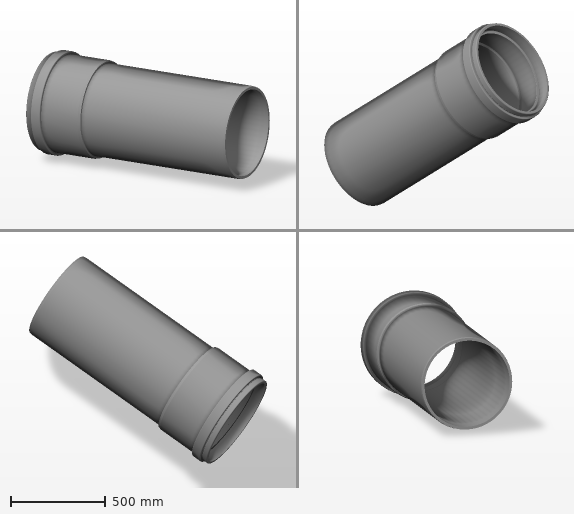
import cadquery as cq

length = 1195.0
pipe_outer_radius = 500.0 / 2
pipe_inner_radius = 467.0 / 2
spigot_chamfer_length = 14.0
spigot_chamfer_depth = 2.0

socket_outer_radius = 530.0 / 2
socket_bore_radius = 504.0 / 2
socket_end = 326.0
socket_taper_length = 14.0
socket_taper_depth = 4.0
bore_end = 196.0
shoulder_bore_radius = 470.0 / 2
shoulder_taper_length = 14.0

bead_radius = 561.0 / 2
bead_start = 36.0
bead_end = 91.0
bead_edge_fillet = 4.0

seal_outer_radius = 535.0 / 2
seal_start = 40.0
seal_end = 79.0
seal_lip_radius = 470.0 / 2
seal_lip_start = 60.0
seal_lip_thickness = 2.0

lip_radius = 535.0 / 2
lip_end = 32.0
lip_edge_fillet = 5.0


def revolve_about_x(profile):
    """Turn a profile of (X, radius) drawn in the XY plane about the X axis."""
    return profile.close().revolve(360, (0, 0, 0), (1, 0, 0))


def ring(start, end, inner_radius, outer_radius):
    """Plain ring around the X axis."""
    profile = (
        cq.Workplane("XY")
        .moveTo(start, inner_radius)
        .lineTo(end, inner_radius)
        .lineTo(end, outer_radius)
        .lineTo(start, outer_radius)
    )
    return revolve_about_x(profile)


def make_outer_form():
    """Solid outside shape: barrel, socket sleeve, bead and lip."""
    profile = (
        cq.Workplane("XY")
        .moveTo(lip_end, 0)
        .lineTo(lip_end, socket_outer_radius)
        .lineTo(socket_end - socket_taper_length, socket_outer_radius)
        .lineTo(socket_end, socket_outer_radius - socket_taper_depth)
        .lineTo(socket_end, pipe_outer_radius)
        .lineTo(length - spigot_chamfer_length, pipe_outer_radius)
        .lineTo(length, pipe_outer_radius - spigot_chamfer_depth)
        .lineTo(length, 0)
    )
    lip = cq.Workplane("YZ").circle(lip_radius).extrude(lip_end).edges().fillet(lip_edge_fillet)
    bead = (
        cq.Workplane("YZ", origin=(bead_start, 0, 0))
        .circle(bead_radius)
        .extrude(bead_end - bead_start)
        .edges()
        .fillet(bead_edge_fillet)
    )
    return revolve_about_x(profile).union(lip).union(bead)


def make_bore():
    """Inside space: socket bore, flat shoulder, short lead-in taper and pipe bore."""
    profile = (
        cq.Workplane("XY")
        .moveTo(0, 0)
        .lineTo(0, socket_bore_radius)
        .lineTo(bore_end, socket_bore_radius)
        .lineTo(bore_end, shoulder_bore_radius)
        .lineTo(bore_end + shoulder_taper_length, pipe_inner_radius)
        .lineTo(length, pipe_inner_radius)
        .lineTo(length, 0)
    )
    return revolve_about_x(profile)


def make_seal():
    """Sealing ring that fills the groove in the bead, with a thin lip reaching inward."""
    body = ring(seal_start, seal_end, socket_bore_radius, seal_outer_radius)
    seal_lip_end = seal_lip_start + seal_lip_thickness
    lip = ring(seal_lip_start, seal_lip_end, seal_lip_radius, seal_outer_radius)
    return body.union(lip)


seal = make_seal()
pipe = make_outer_form().cut(make_bore()).cut(seal)

result = cq.Compound.makeCompound([pipe.val(), seal.val()])